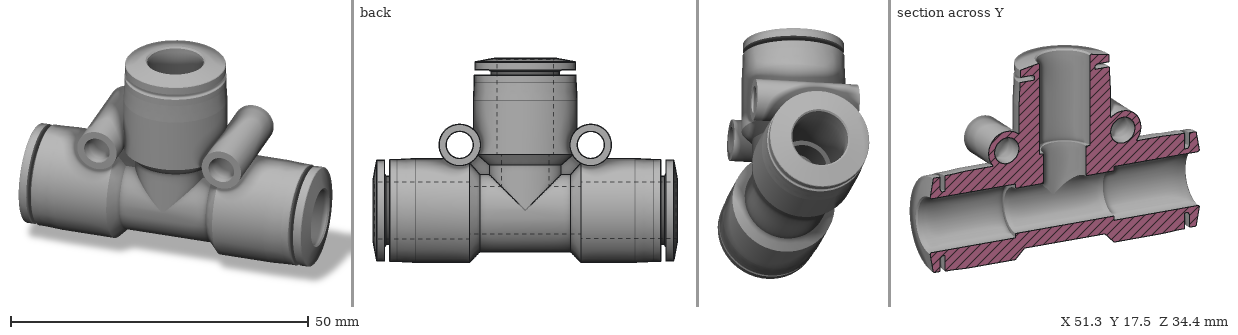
import cadquery as cq

arm_length = 25.65
body_dia = 17.5

neck_end = 7.65
shoulder_end = 9.4
taper_start = 18.45
ring_start = 21.55
ring_end = 22.85
collar_start = 23.4
flange_start = 23.65
rim_start = 25.05

neck_dia = 13.95
ring_dia = 17.2
ring_edge_chamfer = 0.1
sleeve_dia = 11.55
collar_dia = 12.3
flange_dia = 17.0
rim_chamfer = 0.1

bore_dia = 8.0
socket_dia = 9.55
mouth_dia = 10.05
mouth_depth = (mouth_dia - socket_dia) / 2
socket_bottom = shoulder_end

lug_dia = 7.0
lug_hole_dia = 4.5
lug_length = body_dia
lug_offset = 11.05
web_thickness = 7.0


def revolve_upward(steps):
    """Revolve (diameter, height) steps about Z, closed along the axis."""
    points = [(dia / 2, height) for dia, height in steps]
    outline = [(0, points[0][1])] + points + [(0, points[-1][1])]
    return cq.Workplane("XZ").polyline(outline).close().revolve(360, (0, 0), (0, 1))


def arm_body():
    """Upright arm from the meeting point out to the release flange."""
    return revolve_upward([
        (neck_dia, 0),
        (neck_dia, neck_end),
        (body_dia, shoulder_end),
        (body_dia, taper_start),
        (ring_dia, ring_start),
        (ring_dia, ring_end - ring_edge_chamfer),
        (ring_dia - 2 * ring_edge_chamfer, ring_end),
        (sleeve_dia, ring_end),
        (sleeve_dia, collar_start),
        (collar_dia, flange_start),
        (flange_dia, flange_start),
        (flange_dia, rim_start - rim_chamfer),
        (flange_dia - 2 * rim_chamfer, rim_start),
        (mouth_dia, arm_length),
    ])


def arm_passage():
    """Upright bore opening into a tube socket with a chamfered mouth."""
    return revolve_upward([
        (bore_dia, 0),
        (bore_dia, socket_bottom),
        (socket_dia, socket_bottom),
        (socket_dia, arm_length - mouth_depth),
        (mouth_dia, arm_length),
    ])


def on_all_arms(shape):
    """Join copies of an upright shape along +Z, +X and -X."""
    arms = shape
    for angle in (90, -90):
        arms = arms.union(shape.rotate((0, 0, 0), (0, 1, 0), angle))
    return arms


def lug_cylinders(dia):
    """Pair of cylinders along Y, one in each corner beside the branch."""
    centres = [(side * lug_offset, lug_offset) for side in (-1, 1)]
    front_plane = cq.Workplane("XZ", origin=(0, -lug_length / 2, 0))
    return front_plane.pushPoints(centres).circle(dia / 2).extrude(-lug_length)


def webs():
    """Flat plate filling the corners between the arms, up to the lug centres."""
    return cq.Workplane("XY").box(
        2 * lug_offset, web_thickness, lug_offset, centered=(True, True, False)
    )


outside = on_all_arms(arm_body()).union(webs()).union(lug_cylinders(lug_dia))
result = outside.cut(on_all_arms(arm_passage())).cut(lug_cylinders(lug_hole_dia))